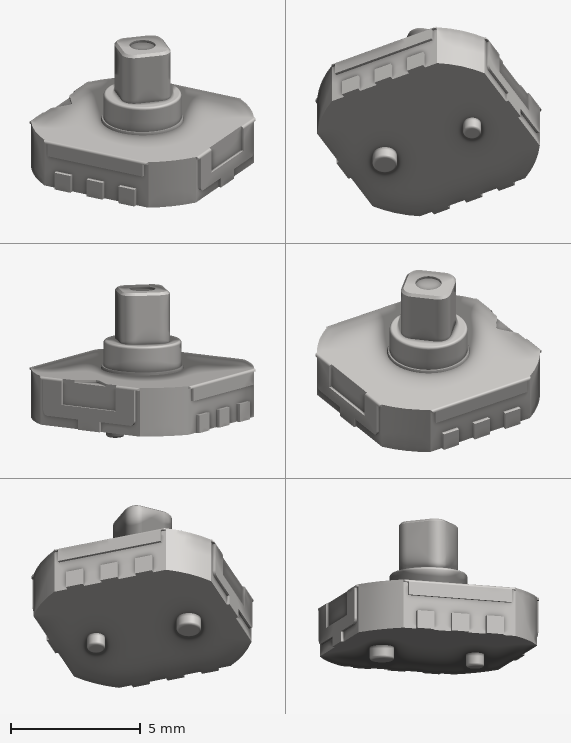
import cadquery as cq
import math

housing_width = 7.28
corner_radius = 4.3
housing_height = 1.8

cover_thickness = 0.1
cover_width = 7.5
bend_radius = cover_thickness
strip_corner_radius = 0.1
flap_width = 4.2
front_flap_bottom = 1.3
side_flap_bottom = 0.4
side_flap_corner_radius = 0.2
tab_width = 1.0
window_width = 2.5
window_bottom = 0.9
cover_top = housing_height + cover_thickness
half_housing = housing_width / 2
flat_wall_width = 2 * math.sqrt(corner_radius**2 - half_housing**2)
flap_thickness = (cover_width - housing_width) / 2

arrow_depth = 0.49
arrow_width = 1.475
arrow_tip_width = 0.12

flange_diameter = 3.2
flange_top_diameter = 3.13
flange_top = 2.0
collar_diameter = 3.0
collar_top = 3.0
collar_fillet = 0.1
post_side = 1.945
post_corner_radius = 0.495
post_top = 5.0
post_chamfer = 0.1
post_angle = 45
dimple_diameter = 1.0
dimple_depth = 0.1

peg_length = 0.5
peg_fillet = 0.1
peg_offset = 1.9
small_peg_diameter = 0.7
large_peg_diameter = 0.95

overall_depth = 7.6
terminal_width = 0.7
terminal_height = 0.7
terminal_pitch = 1.41
terminal_thickness = (overall_depth - housing_width) / 2


def round_cornered_slab(width, bottom, height):
    """Square slab whose corners are turned to the common corner radius."""
    square = cq.Workplane("XY").workplane(offset=bottom).rect(width, width).extrude(height)
    disc = cq.Workplane("XY").workplane(offset=bottom).circle(corner_radius).extrude(height)
    return square.intersect(disc)


def peg(x, diameter):
    """Round peg hanging below the housing, rounded at its lower end."""
    shaft = cq.Workplane("XY").center(x, 0).circle(diameter / 2).extrude(-peg_length)
    return shaft.faces("<Z").edges().fillet(peg_fillet)


def make_housing():
    block = round_cornered_slab(housing_width, 0, housing_height)
    return block.union(peg(-peg_offset, small_peg_diameter)).union(peg(peg_offset, large_peg_diameter))


def bend_strip():
    """Strip along the -Y edge of the cover top, as wide as the flat wall below it."""
    strip = cq.Workplane("XY").box(
        flat_wall_width, flap_thickness, cover_thickness, centered=(True, False, False)
    ).translate((0, -cover_width / 2, housing_height))
    return strip.edges("|Z and <Y").fillet(strip_corner_radius)


def front_flap():
    """Plain flap on the -Y side."""
    return cq.Workplane("XY").box(
        flap_width, flap_thickness, cover_top - front_flap_bottom, centered=(True, False, False)
    ).translate((0, -cover_width / 2, front_flap_bottom))


def side_flap():
    """Flap on the -X side: rounded lower corners and a tab reaching the housing underside."""
    flap = cq.Workplane("XY").box(
        flap_thickness, flap_width, cover_top - side_flap_bottom, centered=(False, True, False)
    )
    flap = flap.edges("|X and <Z").fillet(side_flap_corner_radius)
    flap = flap.translate((-cover_width / 2, 0, side_flap_bottom))
    tab = cq.Workplane("XY").box(
        flap_thickness, tab_width, cover_top, centered=(False, True, False)
    ).translate((-cover_width / 2, 0, 0))
    return flap.union(tab)


def side_window():
    """Opening through the -X flap and its bend."""
    return cq.Workplane("XY").box(
        flap_thickness, window_width, cover_top - window_bottom, centered=(False, True, False)
    ).translate((-cover_width / 2, 0, window_bottom))


def arrow_notch():
    """Arrow-shaped cutter pointing +X from the housing's -X side."""
    tip_x = -half_housing + arrow_depth
    return (
        cq.Workplane("XY").workplane(offset=housing_height)
        .moveTo(-half_housing, -arrow_width / 2)
        .lineTo(tip_x, -arrow_tip_width / 2)
        .lineTo(tip_x, arrow_tip_width / 2)
        .lineTo(-half_housing, arrow_width / 2)
        .close().extrude(cover_thickness)
    )


def make_cover():
    cover = round_cornered_slab(housing_width, housing_height, cover_thickness)
    for turn in (0, 90, 180, 270):
        cover = cover.union(bend_strip().rotate((0, 0, 0), (0, 0, 1), turn))
    for turn in (0, 180):
        for flap in (front_flap(), side_flap()):
            cover = cover.union(flap.rotate((0, 0, 0), (0, 0, 1), turn))
    bend = (
        cq.Workplane("XY").rect(cover_width, cover_width).extrude(cover_top)
        .faces(">Z").edges().fillet(bend_radius)
    )
    cover = cover.intersect(bend)
    for turn in (0, 180):
        cover = cover.cut(side_window().rotate((0, 0, 0), (0, 0, 1), turn))
    stem_hole = cq.Workplane("XY").circle(flange_diameter / 2).extrude(cover_top)
    return cover.cut(stem_hole).cut(arrow_notch())


def make_stem():
    flange_radius = flange_diameter / 2
    flange = (
        cq.Workplane("XZ")
        .moveTo(0, housing_height)
        .lineTo(flange_radius, housing_height)
        .lineTo(flange_radius, cover_top)
        .lineTo(flange_top_diameter / 2, flange_top)
        .lineTo(0, flange_top)
        .close().revolve(360, (0, 0), (0, 1))
    )
    collar = (
        cq.Workplane("XY").workplane(offset=flange_top)
        .circle(collar_diameter / 2).extrude(collar_top - flange_top)
        .faces(">Z").edges().fillet(collar_fillet)
    )
    post = (
        cq.Workplane("XY").workplane(offset=collar_top)
        .rect(post_side, post_side).extrude(post_top - collar_top)
        .edges("|Z").fillet(post_corner_radius)
        .faces(">Z").edges().chamfer(post_chamfer)
        .rotate((0, 0, 0), (0, 0, 1), post_angle)
    )
    dimple = (
        cq.Workplane("XY").workplane(offset=post_top)
        .circle(dimple_diameter / 2).extrude(-dimple_depth)
    )
    return flange.union(collar).union(post).cut(dimple)


def make_terminal(x, side):
    """Terminal plate against the housing wall on the -Y (side = -1) or +Y (side = 1) side."""
    y = side * (half_housing + terminal_thickness / 2)
    return cq.Workplane("XY").box(
        terminal_width, terminal_thickness, terminal_height, centered=(True, True, False)
    ).translate((x, y, 0))


housing = make_housing()
cover = make_cover()
stem = make_stem()
terminals = [
    make_terminal(column * terminal_pitch, side)
    for side in (-1, 1)
    for column in (-1, 0, 1)
]

result = cq.Compound.makeCompound(
    [housing.val(), cover.val(), stem.val(), *[terminal.val() for terminal in terminals]]
)